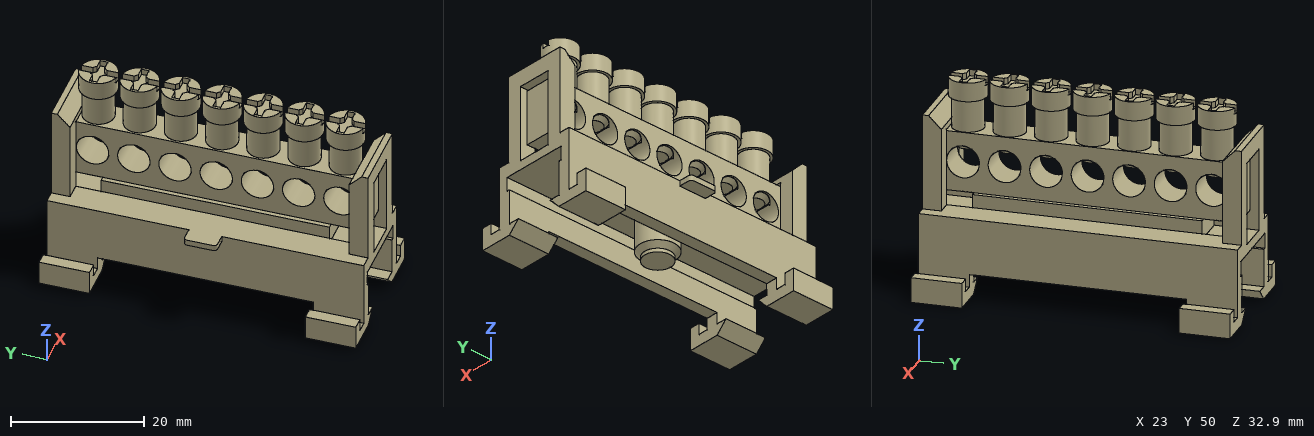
import cadquery as cq


LENGTH = 50.0
FOOT_WIDTH = 23.0
FOOT_LENGTH = 8.0
FOOT_THICKNESS = 2.0
LIP_HEIGHT = 4.0
LIP_THICKNESS = 1.95
BASE_WIDTH = 15.5
WALL_BOTTOM = 4.0
SHOULDER_Z = 12.9
CEILING_Z = 10.4
CAVITY_WIDTH = 11.0
RELIEF_WIDTH = 12.0
RELIEF_Z = 8.0
HOOK_GAP = 7.0

POST_WIDTH = 11.5
POST_THICKNESS = 3.0
POST_TOP = 28.0
POST_CHAMFER = 2.0
WINDOW_WIDTH = 6.1
WINDOW_BOTTOM = 12.0
WINDOW_TOP = 25.05

BLOCK_LENGTH = 36.0
BLOCK_TOP = 15.0
TAB_REACH = 2.5
TAB_WIDTH = 5.2
TAB_THICKNESS = 0.95
TAB_CORNER_RADIUS = 0.6
BOSS_RADIUS = 3.5
BOSS_TIP_RADIUS = 2.6
BOSS_CONE_TOP = 5.0
BOSS_CONE_BOTTOM = 4.05
BOSS_BOTTOM = 3.4

BAR_CENTER_X = 0.15
BAR_WIDTH = 5.5
BAR_LENGTH = 47.5
BAR_BOTTOM = 15.25
BAR_TOP = 24.75
WIRE_HOLE_DIAMETER = 5.1
WIRE_HOLE_Z = 20.0

SCREW_COUNT = 7
SCREW_PITCH = 6.5
SCREW_CENTER_X = 0.225
SHANK_DIAMETER = 5.0
SHANK_BOTTOM = 21.75
TIP_CHAMFER = 0.75
HEAD_DIAMETER = 6.0
HEAD_HEIGHT = 3.0
HEAD_TOP = 32.85
SLOT_WIDTH = 1.2
SLOT_DEPTH = 1.0
CROSS_SLOT_LENGTH = 5.1
SLOT_CORNER_CHAMFER = 0.5

SCREW_POSITIONS = [
    (SCREW_CENTER_X, (i - (SCREW_COUNT - 1) / 2) * SCREW_PITCH) for i in range(SCREW_COUNT)
]


def box(width, length, bottom, top, x=0.0):
    """Box between two heights, centred at x and on the middle of the length."""
    height = top - bottom
    return cq.Workplane("XY").box(width, length, height, centered=(True, True, False)).translate((x, 0, bottom))


def make_base():
    """Channel section with hooked feet, cut back between the two pairs of feet."""
    half_section = [
        (0, CEILING_Z),
        (RELIEF_WIDTH / 2, CEILING_Z),
        (RELIEF_WIDTH / 2, RELIEF_Z),
        (CAVITY_WIDTH / 2, RELIEF_Z),
        (CAVITY_WIDTH / 2, FOOT_THICKNESS),
        (HOOK_GAP / 2, FOOT_THICKNESS),
        (HOOK_GAP / 2 + FOOT_THICKNESS, 0),
        (FOOT_WIDTH / 2, 0),
        (FOOT_WIDTH / 2, LIP_HEIGHT),
        (FOOT_WIDTH / 2 - LIP_THICKNESS, LIP_HEIGHT),
        (FOOT_WIDTH / 2 - LIP_THICKNESS, FOOT_THICKNESS),
        (BASE_WIDTH / 2, FOOT_THICKNESS),
        (BASE_WIDTH / 2, SHOULDER_Z),
        (0, SHOULDER_Z),
    ]
    half = cq.Workplane("XZ").polyline(half_section).close().extrude(LENGTH / 2, both=True)
    base = half.union(half.mirror("YZ"))
    return base.cut(box(FOOT_WIDTH, LENGTH - 2 * FOOT_LENGTH, 0, WALL_BOTTOM))


def make_post():
    """End post at +Y, chamfered along its inner top edge."""
    outer_y = LENGTH / 2
    inner_y = outer_y - POST_THICKNESS
    side = [
        (inner_y, SHOULDER_Z),
        (outer_y, SHOULDER_Z),
        (outer_y, POST_TOP),
        (inner_y + POST_CHAMFER, POST_TOP),
        (inner_y, POST_TOP - POST_CHAMFER),
    ]
    return cq.Workplane("YZ").polyline(side).close().extrude(POST_WIDTH / 2, both=True)


def make_tab():
    """Flat marker tab on the -X wall, level with the shoulder."""
    inner_x = -BASE_WIDTH / 2
    bottom = SHOULDER_Z - TAB_THICKNESS
    tab = box(TAB_REACH, TAB_WIDTH, bottom, SHOULDER_Z, x=inner_x - TAB_REACH / 2)
    return tab.faces("<X").edges("|Z").fillet(TAB_CORNER_RADIUS)


def make_boss():
    """Round boss with a tapered tip, hanging from the cavity ceiling."""
    half_section = [
        (0, BOSS_BOTTOM),
        (BOSS_TIP_RADIUS, BOSS_BOTTOM),
        (BOSS_TIP_RADIUS, BOSS_CONE_BOTTOM),
        (BOSS_RADIUS, BOSS_CONE_TOP),
        (BOSS_RADIUS, CEILING_Z),
        (0, CEILING_Z),
    ]
    return cq.Workplane("XZ").polyline(half_section).close().revolve(360, (0, 0), (0, 1))


def make_housing():
    post = make_post()
    window = box(WINDOW_WIDTH, LENGTH, WINDOW_BOTTOM, WINDOW_TOP)
    block = box(WINDOW_WIDTH, BLOCK_LENGTH, WINDOW_BOTTOM, BLOCK_TOP)
    shell = make_base().union(post).union(post.mirror("XZ")).cut(window)
    return shell.union(block).union(make_tab()).union(make_boss())


def make_bar():
    """Bar with a crosswise wire hole and a blind screw hole at every screw position."""
    bar = box(BAR_WIDTH, BAR_LENGTH, BAR_BOTTOM, BAR_TOP, x=BAR_CENTER_X)
    wire_holes = (
        cq.Workplane("YZ")
        .pushPoints([(y, WIRE_HOLE_Z) for _, y in SCREW_POSITIONS])
        .circle(WIRE_HOLE_DIAMETER / 2)
        .extrude(BAR_WIDTH, both=True)
    )
    screw_holes = (
        cq.Workplane("XY", origin=(0, 0, SHANK_BOTTOM))
        .pushPoints(SCREW_POSITIONS)
        .circle(SHANK_DIAMETER / 2)
        .extrude(BAR_TOP - SHANK_BOTTOM)
    )
    return bar.cut(wire_holes).cut(screw_holes)


def make_screw(x, y):
    """Screw with a chamfered tip; one slot crosses the whole head, the other stops short of the rim."""
    head_bottom = HEAD_TOP - HEAD_HEIGHT
    slot_bottom = HEAD_TOP - SLOT_DEPTH
    shank = (
        cq.Workplane("XY", origin=(0, 0, SHANK_BOTTOM))
        .circle(SHANK_DIAMETER / 2)
        .extrude(head_bottom - SHANK_BOTTOM)
        .faces("<Z")
        .chamfer(TIP_CHAMFER)
    )
    head = cq.Workplane("XY", origin=(0, 0, head_bottom)).circle(HEAD_DIAMETER / 2).extrude(HEAD_HEIGHT)
    open_slot = box(SLOT_WIDTH, HEAD_DIAMETER, slot_bottom, HEAD_TOP)
    closed_slot = box(CROSS_SLOT_LENGTH, SLOT_WIDTH, slot_bottom, HEAD_TOP)
    diamond_reach = SLOT_WIDTH + SLOT_CORNER_CHAMFER
    diamond = (
        cq.Workplane("XY", origin=(0, 0, slot_bottom))
        .polyline([(diamond_reach, 0), (0, diamond_reach), (-diamond_reach, 0), (0, -diamond_reach)])
        .close()
        .extrude(SLOT_DEPTH)
    )
    return shank.union(head).cut(open_slot).cut(closed_slot).cut(diamond).translate((x, y, 0))


housing = make_housing()
bar = make_bar()
screws = [make_screw(x, y) for x, y in SCREW_POSITIONS]

result = cq.Compound.makeCompound([housing.val(), bar.val(), *[screw.val() for screw in screws]])